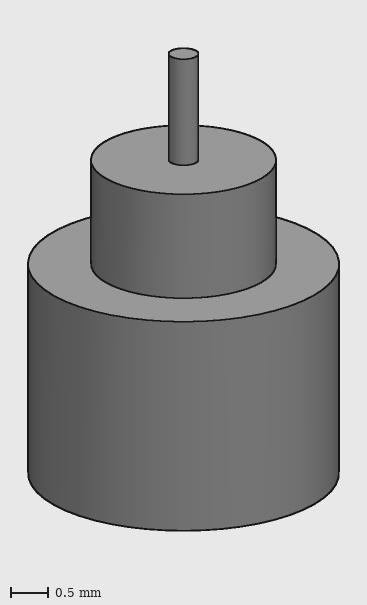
import cadquery as cq

total_height = 6.1
body_diameter = 4.2
body_height = 3.045
collar_diameter = 2.5
collar_height = 1.51
pin_diameter = 0.4

collar_top = body_height + collar_height
pin_height = total_height - collar_top


def upright_cylinder(diameter, height, base_z):
    """Cylinder on the Z axis, standing on the level base_z."""
    return cq.Workplane("XY").workplane(offset=base_z).circle(diameter / 2).extrude(height)


body = upright_cylinder(body_diameter, body_height, 0)
collar = upright_cylinder(collar_diameter, collar_height, body_height)
pin = upright_cylinder(pin_diameter, pin_height, collar_top)

result = body.union(collar).union(pin)